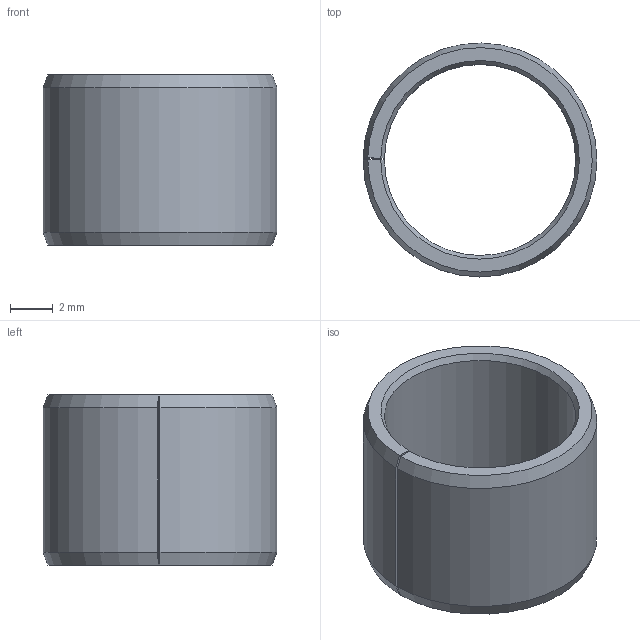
import cadquery as cq
import math

outer_radius = 5.5
inner_radius = 4.5
length = 8.0

outer_chamfer_length = 0.6
outer_chamfer_angle = 20.0
inner_chamfer_length = 0.3
inner_chamfer_angle = 30.0

split_angle = 1.0


def chamfer_depth(chamfer_length, angle):
    """Radial depth of a chamfer from its axial length and angle."""
    return chamfer_length * math.tan(math.radians(angle))


def make_wall_section():
    """Chamfered wall section in the XZ plane, on the -X side."""
    half_length = length / 2
    outer_shoulder = half_length - outer_chamfer_length
    inner_shoulder = half_length - inner_chamfer_length
    outer_rim = outer_radius - chamfer_depth(outer_chamfer_length, outer_chamfer_angle)
    inner_rim = inner_radius + chamfer_depth(inner_chamfer_length, inner_chamfer_angle)
    return (
        cq.Workplane("XZ")
        .moveTo(-inner_radius, -inner_shoulder)
        .lineTo(-inner_rim, -half_length)
        .lineTo(-outer_rim, -half_length)
        .lineTo(-outer_radius, -outer_shoulder)
        .lineTo(-outer_radius, outer_shoulder)
        .lineTo(-outer_rim, half_length)
        .lineTo(-inner_rim, half_length)
        .lineTo(-inner_radius, inner_shoulder)
        .close()
    )


sweep_angle = 360.0 - split_angle
result = make_wall_section().revolve(sweep_angle, (0, 0, 0), (0, 1, 0))